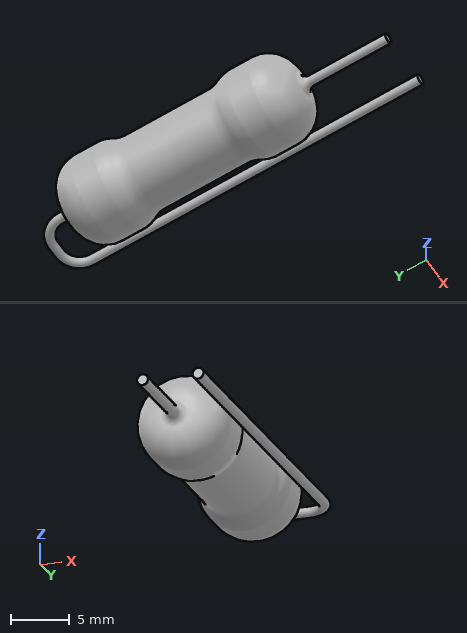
import cadquery as cq
import math


cap_diameter = 8.4
waist_diameter = 7.15
body_length = 23.8
waist_length = 8.55
cap_round = 2.87
cap_land = 2.3

lead_diameter = 1.0
lead_pitch = 5.0
bend_straight = lead_diameter
neck_lead_in = 0.15
total_length = 35.9

cap_radius = cap_diameter / 2
waist_radius = waist_diameter / 2
lead_radius = lead_diameter / 2
body_end = body_length / 2
waist_end = waist_length / 2
face_radius = cap_radius - cap_round
neck_round = face_radius - lead_radius
neck_end = body_end + neck_round
land_outer = body_end - cap_round
land_inner = land_outer - cap_land
bend_radius = (lead_pitch - bend_straight) / 2
bend_start = neck_end + neck_lead_in
bend_top = bend_start + bend_radius
lead_tip = bend_top + lead_radius - total_length

blend_mid_radius = (cap_radius + waist_radius) / 2
blend_mid = (land_inner + waist_end) / 2
half_run = (land_inner - waist_end) / 2
half_drop = (cap_radius - waist_radius) / 2
blend_radius = (half_run**2 + half_drop**2) / (2 * half_drop)


def make_body():
    """Revolve half of the body profile and mirror it about the middle plane."""
    diagonal = math.sqrt(0.5)
    blend_angle = math.asin(half_run / blend_radius) / 2
    arc_run = blend_radius * math.sin(blend_angle)
    arc_drop = blend_radius * (1 - math.cos(blend_angle))
    neck_arc_middle = (face_radius - neck_round * diagonal, neck_end - neck_round * diagonal)
    cap_arc_middle = (face_radius + cap_round * diagonal, land_outer + cap_round * diagonal)
    half = (
        cq.Workplane("XY")
        .lineTo(waist_radius, 0)
        .lineTo(waist_radius, waist_end)
        .threePointArc((waist_radius + arc_drop, waist_end + arc_run), (blend_mid_radius, blend_mid))
        .threePointArc((cap_radius - arc_drop, land_inner - arc_run), (cap_radius, land_inner))
        .lineTo(cap_radius, land_outer)
        .threePointArc(cap_arc_middle, (face_radius, body_end))
        .threePointArc(neck_arc_middle, (lead_radius, neck_end))
        .lineTo(0, neck_end)
        .close()
        .revolve(360, (0, 0), (0, 1))
    )
    return half.union(half.mirror("XZ"))


def make_straight_lead():
    """Short lead leaving the -Y end of the body."""
    return cq.Workplane("XZ", origin=(0, -neck_end, 0)).circle(lead_radius).extrude(-neck_end - lead_tip)


def make_folded_lead():
    """Lead leaving the +Y end, bent twice and running back to the common tip plane."""
    path = (
        cq.Workplane("XY")
        .moveTo(0, neck_end)
        .lineTo(0, bend_start)
        .tangentArcPoint((bend_radius, bend_top), relative=False)
        .lineTo(bend_radius + bend_straight, bend_top)
        .tangentArcPoint((lead_pitch, bend_start), relative=False)
        .lineTo(lead_pitch, lead_tip)
    )
    return cq.Workplane("XZ", origin=(0, neck_end, 0)).circle(lead_radius).sweep(path)


result = make_body().union(make_straight_lead()).union(make_folded_lead())